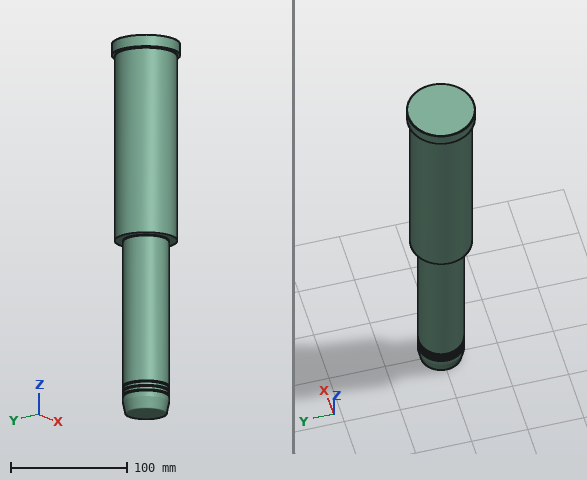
import cadquery as cq

total_length = 331.0
head_height = 10.3
body_length = 165.8
head_diameter = 59.0
body_diameter = 54.0
pin_diameter = 40.0
head_edge_chamfer = 0.5

relief_height = 1.0
relief_depth = 0.3

taper_height = 10.3
tip_diameter = 35.7
tip_fillet = 1.0

groove_count = 3
groove_width = 1.3
groove_depth = 0.3
groove_pitch = 4.0
lowest_groove_height = 15.2

head_bottom = total_length - head_height
body_bottom = head_bottom - body_length


def cylinder(diameter, bottom, height):
    return cq.Workplane("XY").workplane(offset=bottom).circle(diameter / 2).extrude(height)


def make_tip():
    """Cone that widens from the rounded tip up to the pin."""
    tip = (
        cq.Workplane("XY")
        .circle(tip_diameter / 2)
        .workplane(offset=taper_height)
        .circle(pin_diameter / 2)
        .loft(ruled=True)
    )
    return tip.faces("<Z").edges().fillet(tip_fillet)


def make_ring(diameter, depth, bottom, height):
    """Ring of material to remove from the surface of a cylinder."""
    core = cylinder(diameter - 2 * depth, bottom, height)
    return cylinder(diameter, bottom, height).cut(core)


def make_pin():
    """Guide pin with its ring grooves and the relief under the body."""
    pin = cylinder(pin_diameter, taper_height, body_bottom - taper_height)
    for index in range(groove_count):
        groove_bottom = lowest_groove_height + index * groove_pitch
        pin = pin.cut(make_ring(pin_diameter, groove_depth, groove_bottom, groove_width))
    return pin.cut(make_ring(pin_diameter, relief_depth, body_bottom - relief_height, relief_height))


def make_body():
    """Main shank with the relief under the head."""
    body = cylinder(body_diameter, body_bottom, body_length)
    return body.cut(make_ring(body_diameter, relief_depth, head_bottom - relief_height, relief_height))


def make_head():
    """Flat head with a chamfered upper rim."""
    head = cylinder(head_diameter, head_bottom, head_height)
    return head.faces(">Z").edges().chamfer(head_edge_chamfer)


result = make_tip().union(make_pin()).union(make_body()).union(make_head())